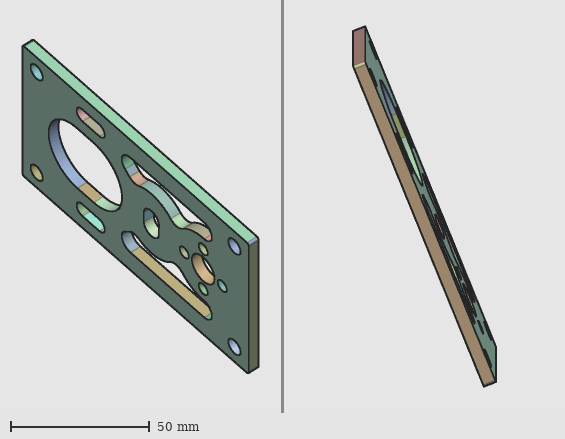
import cadquery as cq
import math

LENGTH = 127.0
THICKNESS = 4.7
HEIGHT = 69.8
CORNER_RADIUS = 1.0

MOUNT_X = 55.5
MOUNT_Z = 26.9
MOUNT_DIAMETER = 6.9

OPENING_X = -28.2
OPENING_LENGTH = 41.1
OPENING_HEIGHT = 32.0

SIDE_SLOT_X = -25.1
SIDE_SLOT_Z = 25.4
SIDE_SLOT_LENGTH = 15.9
SIDE_SLOT_WIDTH = 6.4

SLOT_X = 8.9
SLOT_LENGTH = 13.5
SLOT_WIDTH = 8.4
SLOT_WEB_RADIUS = 15.9

BORE_X = 38.0
BORE_DIAMETER = 12.7
SCREW_RING_RADIUS = 10.7
SCREW_COUNT = 4
SCREW_DIAMETER = 5.1
BORE_WEB_RADIUS = 16.6

WINDOW_TOP = 25.4
WINDOW_LEFT_X = -2.9
WINDOW_LEFT_RADIUS = 4.8
WINDOW_RIGHT_X = 38.5
VALLEY_RADIUS = 4.8
LEFT_VALLEY_X = -0.4


def polar(center, radius, angle):
    """Point on a circle; the angle is in radians."""
    return (center[0] + radius * math.cos(angle), center[1] + radius * math.sin(angle))


def direction(start, end):
    """Angle of the line from one point to another."""
    return math.atan2(end[1] - start[1], end[0] - start[0])


def add_arc(path, center, radius, start, end):
    """Continue the path round a circle from its current start angle to the end angle."""
    middle = polar(center, radius, (start + end) / 2)
    return path.threePointArc(middle, polar(center, radius, end))


def prism(sketch):
    """Extrude a front-plane sketch through the full thickness, centred on Y = 0."""
    return sketch.extrude(THICKNESS / 2, both=True)


def front():
    return cq.Workplane("XZ")


def make_window():
    """Upper window, bounded below by the webs and their tangent valley arcs."""
    slot_web = (SLOT_X, 0.0)
    bore_web = (BORE_X, 0.0)
    left_end = (WINDOW_LEFT_X, WINDOW_TOP - WINDOW_LEFT_RADIUS)

    slot_reach = SLOT_WEB_RADIUS + VALLEY_RADIUS
    left_valley = (LEFT_VALLEY_X, math.sqrt(slot_reach**2 - (SLOT_X - LEFT_VALLEY_X) ** 2))

    bore_reach = BORE_WEB_RADIUS + VALLEY_RADIUS
    spacing = BORE_X - SLOT_X
    valley_offset = (slot_reach**2 - bore_reach**2 + spacing**2) / (2 * spacing)
    middle_valley = (SLOT_X + valley_offset, math.sqrt(slot_reach**2 - valley_offset**2))

    right_offset = WINDOW_RIGHT_X - BORE_X
    right_radius = (WINDOW_TOP**2 + right_offset**2 - BORE_WEB_RADIUS**2) / (
        2 * (WINDOW_TOP + BORE_WEB_RADIUS)
    )
    right_end = (WINDOW_RIGHT_X, WINDOW_TOP - right_radius)

    ramp = direction(left_end, left_valley) - math.pi / 2
    slot_start = direction(slot_web, left_valley)
    slot_end = direction(slot_web, middle_valley)
    bore_start = direction(bore_web, middle_valley)
    bore_end = direction(bore_web, right_end)

    path = front().moveTo(WINDOW_LEFT_X, WINDOW_TOP)
    path = add_arc(path, left_end, WINDOW_LEFT_RADIUS, math.pi / 2, ramp + 2 * math.pi)
    path = path.lineTo(*polar(left_valley, VALLEY_RADIUS, ramp))
    path = add_arc(path, left_valley, VALLEY_RADIUS, ramp, slot_start - math.pi)
    path = add_arc(path, slot_web, SLOT_WEB_RADIUS, slot_start, slot_end)
    path = add_arc(path, middle_valley, VALLEY_RADIUS, slot_end - math.pi, bore_start - math.pi)
    path = add_arc(path, bore_web, BORE_WEB_RADIUS, bore_start, bore_end)
    path = add_arc(path, right_end, right_radius, bore_end - math.pi, math.pi / 2)
    return prism(path.close())


def make_holes():
    """Round holes at the plate corners and around the bore."""
    corners = [(x, z) for x in (-MOUNT_X, MOUNT_X) for z in (-MOUNT_Z, MOUNT_Z)]
    mounts = prism(front().pushPoints(corners).circle(MOUNT_DIAMETER / 2))
    bore = prism(front().center(BORE_X, 0).circle(BORE_DIAMETER / 2))
    ring = front().center(BORE_X, 0).polarArray(SCREW_RING_RADIUS, 0, 360, SCREW_COUNT)
    screws = prism(ring.circle(SCREW_DIAMETER / 2))
    return [mounts, bore, screws]


def make_slots():
    """Large opening, the pair of narrow slots and the vertical slot."""
    opening = prism(front().center(OPENING_X, 0).slot2D(OPENING_LENGTH, OPENING_HEIGHT))
    side_centers = [(SIDE_SLOT_X, -SIDE_SLOT_Z), (SIDE_SLOT_X, SIDE_SLOT_Z)]
    side_slots = prism(front().pushPoints(side_centers).slot2D(SIDE_SLOT_LENGTH, SIDE_SLOT_WIDTH))
    slot = prism(front().center(SLOT_X, 0).slot2D(SLOT_LENGTH, SLOT_WIDTH, 90))
    return [opening, side_slots, slot]


plate = cq.Workplane("XY").box(LENGTH, THICKNESS, HEIGHT)
plate = plate.edges("|Y").fillet(CORNER_RADIUS)

window = make_window()
for cutter in make_holes() + make_slots() + [window, window.mirror("XY")]:
    plate = plate.cut(cutter)

result = plate